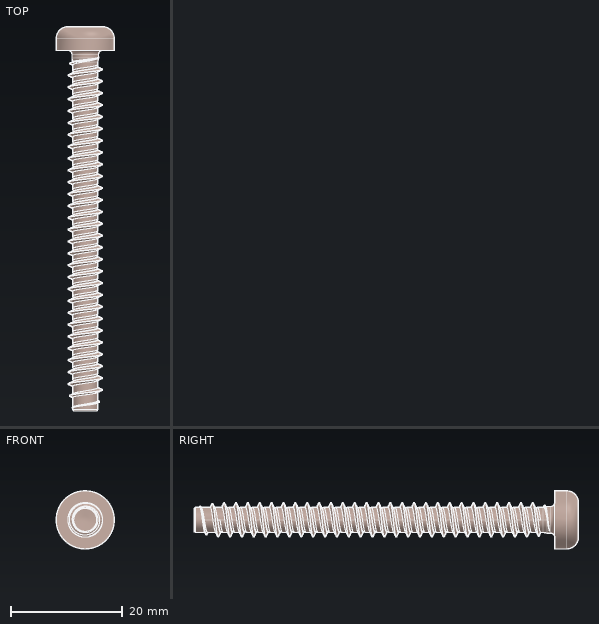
import cadquery as cq
import math

total_length = 69.2

head_diameter = 10.5
head_height = 4.3
head_rim_height = 2.15
head_top_diameter = 6.9

neck_diameter = 4.85
neck_fillet = 0.7
neck_length = 1.4
neck_taper_length = 0.7
core_diameter = 4.6
tip_diameter = 4.15
tip_taper_length = 0.3
tip_dimple_depth = 0.2

thread_diameter = 6.2
crest_width = 0.1
root_width = 0.8
thread_start = 3.4
full_thread_length = 57.7
full_thread_turns = 27
head_runout_turns = 1.5
tip_runout_turns = 1.75
runout_sink = 0.1

relief_depth = 0.15
relief_width = 0.4
relief_gap = 0.035

ridge_overlap = 0.3
relief_overlap = 0.1

head_radius = head_diameter / 2
head_top_radius = head_top_diameter / 2
neck_radius = neck_diameter / 2
core_radius = core_diameter / 2
tip_radius = tip_diameter / 2
thread_radius = thread_diameter / 2
shank_length = total_length - head_height
pitch = full_thread_length / full_thread_turns
thread_end = thread_start + full_thread_length


def make_body():
    """Head, neck and core as one revolved profile."""
    dome_height = head_height - head_rim_height
    dome_inset = head_radius - head_top_radius
    dome_radius = (dome_inset**2 + dome_height**2) / (2 * dome_inset)
    half_angle = math.asin(dome_height / dome_radius) / 2
    dome_middle = (
        head_radius - dome_radius * (1 - math.cos(half_angle)),
        head_rim_height + dome_radius * math.sin(half_angle),
    )
    fillet_inset = neck_fillet * (1 - math.sqrt(0.5))
    fillet_middle = (neck_radius + fillet_inset, -fillet_inset)
    profile = (
        cq.Workplane("XZ")
        .moveTo(0, head_height)
        .lineTo(head_top_radius, head_height)
        .threePointArc(dome_middle, (head_radius, head_rim_height))
        .lineTo(head_radius, 0)
        .lineTo(neck_radius + neck_fillet, 0)
        .threePointArc(fillet_middle, (neck_radius, -neck_fillet))
        .lineTo(neck_radius, -neck_length)
        .lineTo(core_radius, -neck_length - neck_taper_length)
        .lineTo(core_radius, -shank_length + tip_taper_length)
        .lineTo(tip_radius, -shank_length)
        .lineTo(0, -shank_length)
        .close()
    )
    return profile.revolve(360, (0, 0, 0), (0, 1, 0))


def make_helical_solid(section, bottom, turns, radius_change=0.0):
    """Sweep a section of (radius, height) corners up a right-handed helix.

    The helix crosses +X at the lower end of the full thread, so pieces that start
    at different heights stay in step. Over its length the section moves outwards
    by radius_change.
    """
    height = turns * pitch
    slope = math.atan2(radius_change, height)
    stretch = 1 / math.cos(slope)
    cone = {"angle": math.degrees(slope)} if slope else {}
    start_angle = 360 * (bottom + thread_end) / pitch

    helices = []
    for radius, offset in section:
        wire = cq.Wire.makeHelix(pitch * stretch, height * stretch, radius, **cone)
        wire = wire.rotate(cq.Vector(0, 0, 0), cq.Vector(0, 0, 1), start_angle)
        wire = wire.translate(cq.Vector(0, 0, bottom + offset))
        helices.append(wire.Edges()[0])

    neighbours = helices[1:] + helices[:1]
    faces = [cq.Face.makeRuledSurface(a, b) for a, b in zip(helices, neighbours)]
    for end in (0, 1):
        corners = [helix.positionAt(end) for helix in helices]
        faces.append(cq.Face.makeFromWires(cq.Wire.makePolygon(corners, close=True)))
    return cq.Workplane(obj=cq.Solid.makeSolid(cq.Shell.makeShell(faces)))


def ridge_section(crest_radius):
    """Thread ridge whose straight flanks continue below the core surface."""
    full_depth = thread_radius - core_radius
    depth = full_depth + ridge_overlap
    base_width = crest_width + (root_width - crest_width) * depth / full_depth
    base_radius = crest_radius - depth
    return [
        (base_radius, -base_width / 2),
        (crest_radius, -crest_width / 2),
        (crest_radius, crest_width / 2),
        (base_radius, base_width / 2),
    ]


def make_ridges():
    """Full thread and its two run-outs, each as one solid."""
    sunk_radius = core_radius - runout_sink
    runout_rise = thread_radius - sunk_radius
    tip_runout_bottom = -thread_end - tip_runout_turns * pitch
    return [
        make_helical_solid(
            ridge_section(sunk_radius), tip_runout_bottom, tip_runout_turns, runout_rise
        ),
        make_helical_solid(ridge_section(thread_radius), -thread_end, full_thread_turns),
        make_helical_solid(
            ridge_section(thread_radius), -thread_start, head_runout_turns, -runout_rise
        ),
    ]


def make_relief():
    """Groove cutter, deepest beside the thread root and fading out towards the head."""
    floor_radius = core_radius - relief_depth
    outer_radius = core_radius + relief_overlap
    inner_edge = root_width / 2 + relief_gap
    slope_width = relief_width * (relief_depth + relief_overlap) / relief_depth
    section = [
        (floor_radius, inner_edge),
        (outer_radius, inner_edge),
        (outer_radius, inner_edge + slope_width),
    ]
    return make_helical_solid(section, -thread_end, full_thread_turns)


def make_tip_cutter():
    """Everything below the tip, with a flat cone that leaves the dimple."""
    profile = (
        cq.Workplane("XZ")
        .moveTo(0, -shank_length + tip_dimple_depth)
        .lineTo(tip_radius, -shank_length)
        .lineTo(head_radius, -shank_length)
        .lineTo(head_radius, -shank_length - pitch)
        .lineTo(0, -shank_length - pitch)
        .close()
    )
    return profile.revolve(360, (0, 0, 0), (0, 1, 0))


screw = make_body().cut(make_relief())
for ridge in make_ridges():
    screw = screw.union(ridge)
screw = screw.cut(make_tip_cutter())

result = screw.rotate((0, 0, 0), (1, 0, 0), -90)